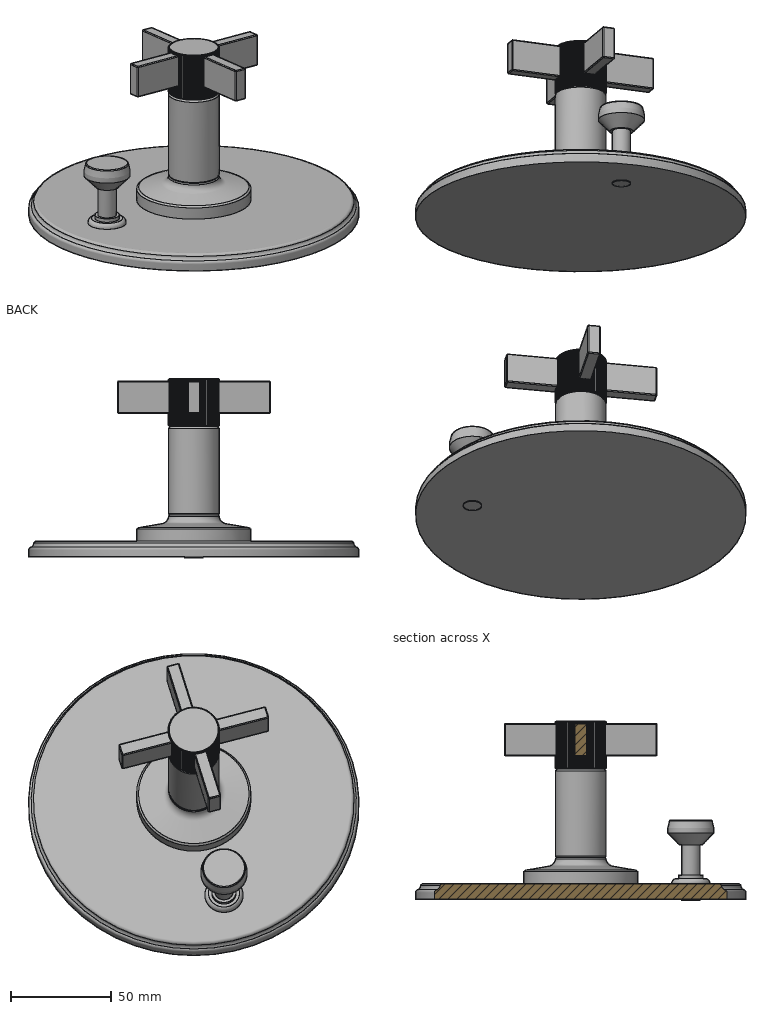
import cadquery as cq
import math

PLATE_RADIUS = 82.5
PLATE_HEIGHT = 8.0
RIM_WALL_HEIGHT = 3.5
RIM_STEP_RADIUS = 81.2
RIM_STEP_HEIGHT = 5.0
RIM_SHOULDER_RADIUS = 80.0
RIM_SHOULDER_HEIGHT = 7.0
PLATE_FACE_RADIUS = 78.3
RIM_COVE = 2.5
RIM_ROUND = 1.7

BASE_RADIUS = 28.5
BASE_EDGE_RADIUS = 27.5
BASE_WALL_HEIGHT = 13.9
BASE_EDGE_HEIGHT = 14.7
FLARE_RADIUS = 16.0
FLARE_HEIGHT = 16.7
NECK_HEIGHT = 20.0

POST_RADIUS = 12.7
POST_TOP = 65.2
POST_EDGE = 1.0
GROOVE_HEIGHT = 21.0
GROOVE_HALF_WIDTH = 0.7
GROOVE_DEPTH = 0.5

HUB_RADIUS = 12.9
HUB_TOP = 89.2
HUB_EDGE = 0.7
FLUTE_COUNT = 120
FLUTE_DEPTH = 0.5

ARM_COUNT = 4
ARM_REACH = 38.1
ARM_THICKNESS = 6.5
ARM_BOTTOM = 71.7
ARM_TOP = 88.0
ARM_EDGE = 0.5

KNOB_Y = -55.0
STEM_RADIUS = 4.6
STEM_BOTTOM = -0.5
FOOT_RADIUS = 9.5
FOOT_LIP_RADIUS = 7.8
FOOT_TOP = 10.4
FOOT_ROUND = 2.5
COLLAR_RADIUS = 6.1
COLLAR_TOP = 12.2
KNOB_NECK_RADIUS = 5.8
KNOB_BOTTOM = 27.2
KNOB_RADIUS = 11.5
KNOB_WALL_BOTTOM = 33.2
KNOB_WALL_TOP = 35.7
KNOB_TOP_RADIUS = 10.7
KNOB_TOP = 39.8
KNOB_EDGE = 0.5


def spin(profile):
    """Revolve a closed half-profile around the Z axis."""
    return profile.close().revolve(360, (0, 0, 0), (0, 1, 0))


def make_plate():
    wall_top = (PLATE_RADIUS, RIM_WALL_HEIGHT)
    step = (RIM_STEP_RADIUS, RIM_STEP_HEIGHT)
    shoulder = (RIM_SHOULDER_RADIUS, RIM_SHOULDER_HEIGHT)
    face_edge = (PLATE_FACE_RADIUS, PLATE_HEIGHT)
    return spin(
        cq.Workplane("XZ")
        .lineTo(PLATE_RADIUS, 0)
        .lineTo(*wall_top)
        .tangentArcPoint(step, relative=False)
        .radiusArc(shoulder, RIM_COVE)
        .radiusArc(face_edge, -RIM_ROUND)
        .lineTo(0, PLATE_HEIGHT)
    )


def make_base_and_post():
    neck = (POST_RADIUS, NECK_HEIGHT)
    return spin(
        cq.Workplane("XZ")
        .lineTo(BASE_RADIUS, 0)
        .lineTo(BASE_RADIUS, BASE_WALL_HEIGHT)
        .lineTo(BASE_EDGE_RADIUS, BASE_EDGE_HEIGHT)
        .lineTo(FLARE_RADIUS, FLARE_HEIGHT)
        .tangentArcPoint(neck, relative=False)
        .lineTo(POST_RADIUS, GROOVE_HEIGHT - GROOVE_HALF_WIDTH)
        .lineTo(POST_RADIUS - GROOVE_DEPTH, GROOVE_HEIGHT)
        .lineTo(POST_RADIUS, GROOVE_HEIGHT + GROOVE_HALF_WIDTH)
        .lineTo(POST_RADIUS, POST_TOP - POST_EDGE)
        .lineTo(POST_RADIUS - POST_EDGE, POST_TOP)
        .lineTo(0, POST_TOP)
    )


def make_hub():
    outline = []
    for index in range(2 * FLUTE_COUNT):
        angle = math.pi * index / FLUTE_COUNT
        radius = HUB_RADIUS - FLUTE_DEPTH * (index % 2)
        outline.append((radius * math.cos(angle), radius * math.sin(angle)))
    hub_plane = cq.Workplane("XY", origin=(0, 0, POST_TOP))
    hub_height = HUB_TOP - POST_TOP
    fluted = hub_plane.polyline(outline).close().extrude(hub_height)
    envelope = (
        hub_plane.circle(HUB_RADIUS)
        .extrude(hub_height)
        .faces("<Z or >Z")
        .chamfer(HUB_EDGE)
    )
    return fluted.intersect(envelope)


def make_arm(angle):
    arm = (
        cq.Workplane("XY")
        .box(ARM_REACH, ARM_THICKNESS, ARM_TOP - ARM_BOTTOM, centered=(False, True, False))
        .edges("|X or >X")
        .chamfer(ARM_EDGE)
    )
    return arm.translate((0, 0, ARM_BOTTOM)).rotate((0, 0, 0), (0, 0, 1), angle)


def make_knob():
    knob = spin(
        cq.Workplane("XZ")
        .moveTo(0, STEM_BOTTOM)
        .lineTo(STEM_RADIUS, STEM_BOTTOM)
        .lineTo(STEM_RADIUS, PLATE_HEIGHT)
        .lineTo(FOOT_RADIUS, PLATE_HEIGHT)
        .radiusArc((FOOT_LIP_RADIUS, FOOT_TOP), -FOOT_ROUND)
        .lineTo(COLLAR_RADIUS, FOOT_TOP)
        .lineTo(COLLAR_RADIUS, COLLAR_TOP)
        .lineTo(STEM_RADIUS, COLLAR_TOP)
        .lineTo(STEM_RADIUS, KNOB_BOTTOM)
        .lineTo(KNOB_NECK_RADIUS, KNOB_BOTTOM)
        .lineTo(KNOB_RADIUS - KNOB_EDGE, KNOB_WALL_BOTTOM - KNOB_EDGE)
        .lineTo(KNOB_RADIUS, KNOB_WALL_BOTTOM)
        .lineTo(KNOB_RADIUS, KNOB_WALL_TOP)
        .lineTo(KNOB_TOP_RADIUS, KNOB_TOP - KNOB_EDGE)
        .lineTo(KNOB_TOP_RADIUS - KNOB_EDGE, KNOB_TOP)
        .lineTo(0, KNOB_TOP)
    )
    return knob.translate((0, KNOB_Y, 0))


result = make_plate().union(make_base_and_post()).union(make_hub())
for arm_index in range(ARM_COUNT):
    result = result.union(make_arm(360 / ARM_COUNT * arm_index))
result = result.union(make_knob())